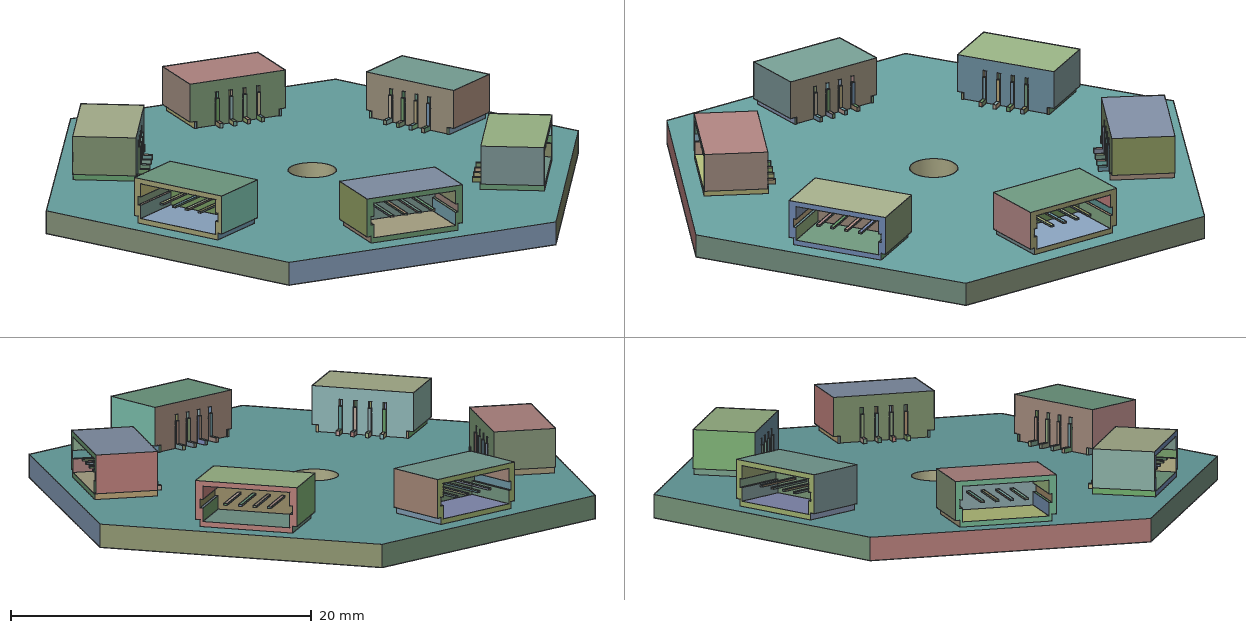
import cadquery as cq
board_length = 39.1
board_width = 34.1
board_thickness = 1.6
board_flat = board_length / 2
corner_y = 0.1
hole_diameter = 3.2
hole_x = -0.08
hole_y = 0.1

connector_count = 6
connector_ring_x = -0.05
connector_ring_y = 0.08
first_angle = 30.0
back_radius = 11.5
bottom_angle = 270.0
bottom_back_radius = 11.6

total_height = 4.75
housing_height = total_height - board_thickness
housing_width = 7.05
housing_depth = 4.22
base_width = 6.4
base_height = 0.45
tab_width = 0.15
tab_overhang = 0.08

wall = 0.35
cavity_width = 6.02
cavity_height = housing_height - 2 * wall
cavity_mid_height = housing_height / 2
back_wall = 0.65
groove_height = 0.6
groove_depth = 0.2

pin_count = 4
pin_pitch = 1.0
pin_width = 0.25
pin_thickness = 0.1
pin_tip = 3.95
slot_top = 2.3
slot_depth = 0.3
slot_width = pin_width
leg_overhang = 0.1
leg_top = 1.88
leg_thickness = 0.15
foot_length = 0.7
foot_thickness = 0.3


def block(x_start, x_end, width, z_start, z_end, y=0.0):
    """Box between two X and two Z positions, centred on y."""
    return (
        cq.Workplane("XY")
        .box(x_end - x_start, width, z_end - z_start, centered=(False, True, False))
        .translate((x_start, y, z_start))
    )


def make_board():
    outline = [
        (board_length / 2, corner_y),
        (board_flat / 2, board_width / 2),
        (-board_flat / 2, board_width / 2),
        (-board_length / 2, corner_y),
        (-board_flat / 2, -board_width / 2),
        (board_flat / 2, -board_width / 2),
    ]
    plate = cq.Workplane("XY").polyline(outline).close().extrude(board_thickness)
    hole = cq.Workplane("XY").center(hole_x, hole_y).circle(hole_diameter / 2).extrude(board_thickness)
    return plate.cut(hole)


def make_housing():
    """Housing with its back wall at X = 0 and its mouth toward +X."""
    base = block(0, housing_depth, base_width, 0, base_height)
    shell = block(0, housing_depth, housing_width, base_height, housing_height)
    cavity = block(back_wall, housing_depth, cavity_width, wall, wall + cavity_height)
    grooves = block(
        back_wall,
        housing_depth,
        cavity_width + 2 * groove_depth,
        cavity_mid_height - groove_height / 2,
        cavity_mid_height + groove_height / 2,
    )
    housing = base.union(shell).cut(cavity).cut(grooves)
    for side in (-1, 1):
        tab_y = side * (base_width - tab_width) / 2
        housing = housing.union(block(-tab_overhang, 0, tab_width, 0, base_height, tab_y))
    return housing


def make_terminal(y):
    """Pin, leg and foot of one terminal, in the housing's frame."""
    pin_bottom = cavity_mid_height - pin_thickness / 2
    pin = block(-leg_overhang, pin_tip, pin_width, pin_bottom, pin_bottom + pin_thickness, y)
    leg = block(-leg_overhang, leg_thickness - leg_overhang, pin_width, 0, leg_top, y)
    foot = block(-foot_length, 0, pin_width, 0, foot_thickness, y)
    return pin.union(leg).union(foot)


def make_connector():
    """Housing and its terminals, joined as one solid."""
    connector = make_housing()
    for index in range(pin_count):
        y = (index - (pin_count - 1) / 2) * pin_pitch
        slot = block(0, slot_depth, slot_width, 0, slot_top, y)
        connector = connector.cut(slot).union(make_terminal(y))
    return connector


def place_connector(angle):
    radius = bottom_back_radius if angle == bottom_angle else back_radius
    return (
        make_connector()
        .translate((radius, 0, board_thickness))
        .rotate((0, 0, 0), (0, 0, 1), angle)
        .translate((connector_ring_x, connector_ring_y, 0))
    )


board = make_board()
connectors = [
    place_connector(first_angle + index * 360 / connector_count) for index in range(connector_count)
]

result = cq.Compound.makeCompound([board.val(), *[connector.val() for connector in connectors]])